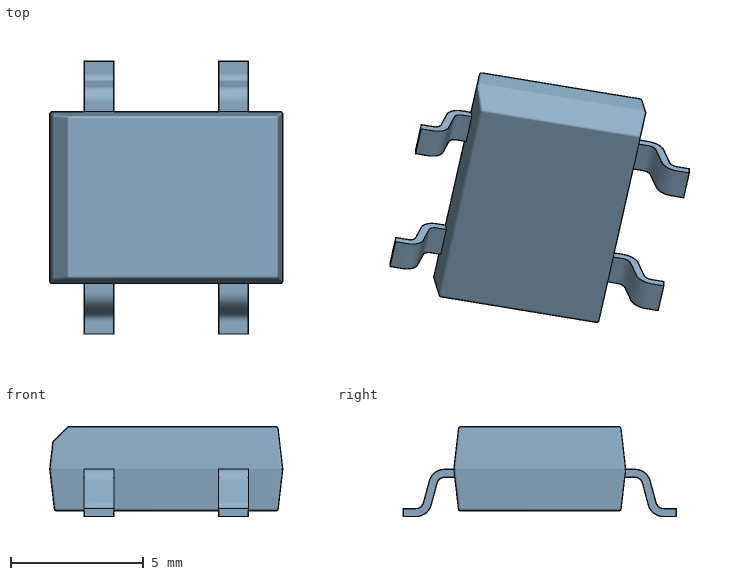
import cadquery as cq
import math

housing_length = 8.8
housing_width = 6.49
overall_height = 3.4
parting_height = 1.79
standoff = 0.22
draft_angle = 6.6
end_bevel_length = 0.52
end_bevel_height = 0.58
edge_radius = 0.1

lead_pitch = 5.08
lead_width = 1.12
lead_thickness = 0.31
lead_span = 10.3
foot_length = 0.47
bend_angle = 75.0
inner_radius = 0.3
outer_radius = inner_radius + lead_thickness


def tapered_half(height):
    """Half of the housing, extruded up or down from the parting plane."""
    return (
        cq.Workplane("XY", origin=(0, 0, parting_height))
        .rect(housing_length, housing_width)
        .extrude(height, taper=draft_angle)
    )


def make_housing():
    top = tapered_half(overall_height - parting_height)
    top = top.faces(">Z").edges("<X").chamfer(end_bevel_height, end_bevel_length)
    top = top.edges("not <Z").fillet(edge_radius)
    bottom = tapered_half(standoff - parting_height)
    bottom = bottom.edges("not >Z").fillet(edge_radius)
    return top.union(bottom).solids()


def arc_point(center, radius, angle):
    return (
        center[0] + radius * math.cos(math.radians(angle)),
        center[1] + radius * math.sin(math.radians(angle)),
    )


def make_lead(x_center, side, housing):
    """One lead on the +Y side (side = 1) or the -Y side (side = -1)."""
    toe = lead_span / 2
    foot_start = toe - foot_length
    bend = math.radians(bend_angle)
    bend_radii = inner_radius + outer_radius
    rise = parting_height - lead_thickness
    leg_length = (rise - bend_radii * (1 - math.cos(bend))) / math.sin(bend)
    shoulder_end = foot_start - bend_radii * math.sin(bend) - leg_length * math.cos(bend)
    upper_center = (shoulder_end, parting_height - outer_radius)
    lower_center = (foot_start, outer_radius)
    upper_leg_angle = 90 - bend_angle
    upper_mid_angle = 90 - bend_angle / 2
    lower_leg_angle = 270 - bend_angle
    lower_mid_angle = 270 - bend_angle / 2

    lead = (
        cq.Workplane("YZ", origin=(x_center - lead_width / 2, 0, 0))
        .moveTo(0, parting_height)
        .lineTo(shoulder_end, parting_height)
        .threePointArc(
            arc_point(upper_center, outer_radius, upper_mid_angle),
            arc_point(upper_center, outer_radius, upper_leg_angle),
        )
        .lineTo(*arc_point(lower_center, inner_radius, lower_leg_angle))
        .threePointArc(
            arc_point(lower_center, inner_radius, lower_mid_angle),
            (foot_start, lead_thickness),
        )
        .lineTo(toe, lead_thickness)
        .lineTo(toe, 0)
        .lineTo(foot_start, 0)
        .threePointArc(
            arc_point(lower_center, outer_radius, lower_mid_angle),
            arc_point(lower_center, outer_radius, lower_leg_angle),
        )
        .lineTo(*arc_point(upper_center, inner_radius, upper_leg_angle))
        .threePointArc(
            arc_point(upper_center, inner_radius, upper_mid_angle),
            (shoulder_end, parting_height - lead_thickness),
        )
        .lineTo(0, parting_height - lead_thickness)
        .close()
        .extrude(lead_width)
    )
    if side < 0:
        lead = lead.mirror("XZ")
    return lead.cut(housing).solids()


housing = make_housing()
leads = [
    make_lead(x_center, side, housing).val()
    for x_center in (-lead_pitch / 2, lead_pitch / 2)
    for side in (-1, 1)
]

result = cq.Compound.makeCompound([housing.val(), *leads])